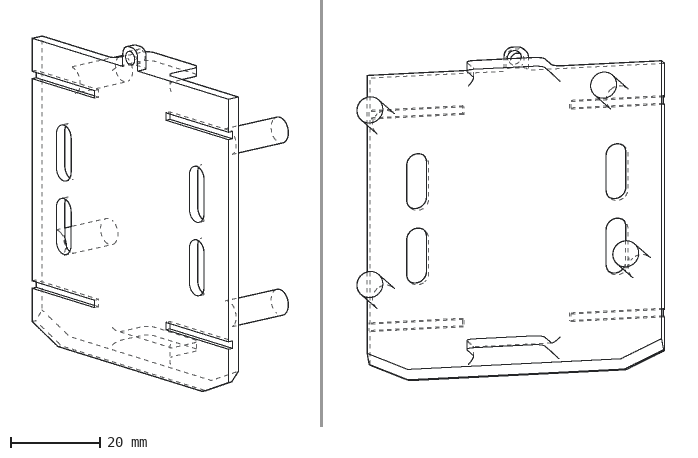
import cadquery as cq

plate_width = 68.0
plate_height = 70.0
plate_thickness = 3.0
corner_run = 9.0
corner_rise = 4.0
lower_chamfer = 1.95

overall_height = 75.0
tab_width = 5.2
tab_corner_radius = 2.0
tab_rear_fillet = 1.0
tab_hole_diameter = 3.15
tab_hole_z = overall_height - tab_width / 2

flange_width = 18.0
flange_thickness = 2.0
flange_reach = 13.05
flange_corner_radius = 2.0
flange_root_fillet = 1.95
lower_flange_z = 4.0
upper_flange_z = plate_height - flange_thickness

peg_diameter = 6.0
peg_reach = 19.0
peg_root_fillet = 1.0
peg_centers = [(-29.55, 22.5), (-24.45, 61.5), (29.55, 58.5), (29.55, 18.4)]

slot_width = 5.0
slot_length = 13.0
slot_offset = 23.0
slot_rim_fillet = 1.0
slot_heights = [28.4, 45.5]

groove_width = 1.7
groove_depth = 1.2
groove_length = 21.7
groove_heights = [12.6, 61.4]

selection_margin = 0.1


def rear_face_edges(x, z, width, height):
    """Selector for edges on the rear face of the plate, inside a rectangle centred on (x, z)."""
    half_width = width / 2 + selection_margin
    half_height = height / 2 + selection_margin
    return cq.selectors.BoxSelector(
        (x - half_width, plate_thickness - selection_margin, z - half_height),
        (x + half_width, plate_thickness + selection_margin, z + half_height),
    )


def make_plate():
    """Flat plate with sloped lower corners and a bevel along its lower rear edges."""
    half_width = plate_width / 2
    blank = (
        cq.Workplane("XZ")
        .moveTo(-half_width, plate_height)
        .lineTo(-half_width, corner_rise)
        .lineTo(-half_width + corner_run, 0)
        .lineTo(half_width - corner_run, 0)
        .lineTo(half_width, corner_rise)
        .lineTo(half_width, plate_height)
        .close()
        .extrude(-plate_thickness)
    )
    lower_edges = rear_face_edges(0, corner_rise / 2, plate_width, corner_rise)
    return blank.edges(lower_edges).chamfer(lower_chamfer)


def cut_slot(body, x, z):
    """Upright slot through the plate with its rear rim rounded over."""
    slot = cq.Workplane("XZ", origin=(x, 0, z)).slot2D(slot_length, slot_width, 90).extrude(-plate_thickness)
    rim = rear_face_edges(x, z, slot_width, slot_length)
    return body.cut(slot).edges(rim).fillet(slot_rim_fillet)


def add_flange(body, bottom_z):
    """Rear flange with rounded tip corners, blended into the plate around its root."""
    length = flange_reach - plate_thickness
    flange = (
        cq.Workplane("XY", origin=(0, plate_thickness + length / 2, bottom_z))
        .rect(flange_width, length)
        .extrude(flange_thickness)
        .edges("|Z and >Y")
        .fillet(flange_corner_radius)
    )
    root = rear_face_edges(0, bottom_z + flange_thickness / 2, flange_width, flange_thickness)
    return body.union(flange).edges(root).fillet(flange_root_fillet)


def make_tab():
    """Rounded hanging tab with a hole, rising from the middle of the upper edge."""
    tab = (
        cq.Workplane("XY", origin=(0, plate_thickness / 2, plate_height))
        .rect(tab_width, plate_thickness)
        .extrude(overall_height - plate_height)
        .edges("|Y and >Z")
        .fillet(tab_corner_radius)
    )
    tab = tab.faces(">Y").edges("not <Z").fillet(tab_rear_fillet)
    hole = (
        cq.Workplane("XZ", origin=(0, 0, tab_hole_z))
        .circle(tab_hole_diameter / 2)
        .extrude(-plate_thickness)
    )
    return tab.cut(hole)


def make_peg(x, z):
    """Round peg revolved from a half profile that flares into the plate."""
    radius = peg_diameter / 2
    length = peg_reach - plate_thickness
    return (
        cq.Workplane("XY", origin=(x, plate_thickness, z))
        .lineTo(radius + peg_root_fillet, 0)
        .radiusArc((radius, peg_root_fillet), peg_root_fillet)
        .lineTo(radius, length)
        .lineTo(0, length)
        .close()
        .revolve(360, (0, 0, 0), (0, 1, 0))
    )


def make_groove(side, z):
    """Shallow front groove running inward from a side edge (side is -1 or 1)."""
    center_x = side * (plate_width - groove_length) / 2
    center = (center_x, groove_depth / 2, z)
    return cq.Workplane("XY").box(groove_length, groove_depth, groove_width).translate(center)


result = make_plate()

for side in (-1, 1):
    for slot_z in slot_heights:
        result = cut_slot(result, side * slot_offset, slot_z)
    for groove_z in groove_heights:
        result = result.cut(make_groove(side, groove_z))

for flange_z in (lower_flange_z, upper_flange_z):
    result = add_flange(result, flange_z)

result = result.union(make_tab())

for peg_x, peg_z in peg_centers:
    result = result.union(make_peg(peg_x, peg_z))